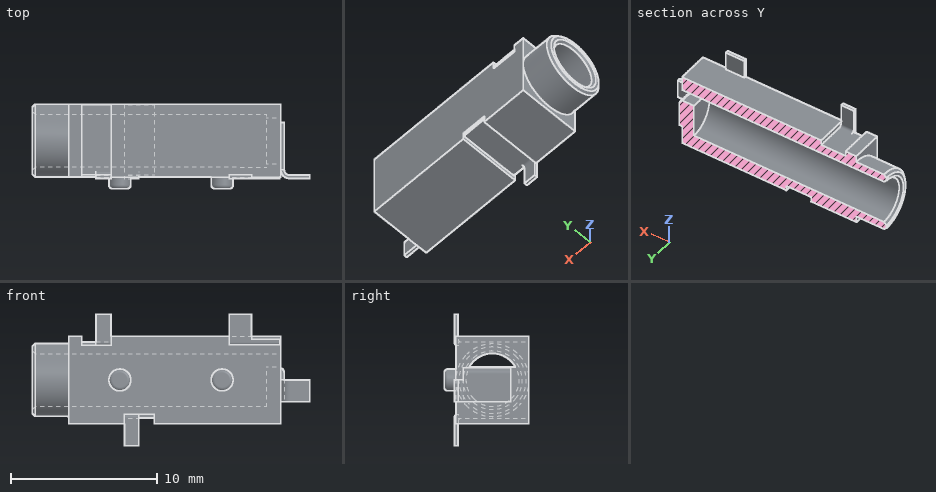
import cadquery as cq

total_length = 19.0
total_height = 9.0
body_start = 2.5
body_end = 17.0
body_depth = 5.0
body_height = 6.0
body_front = -body_depth / 2
half_height = total_height / 2
overlap = 0.19

bore_diameter = 3.61
mouth_chamfer = 0.2
rear_wall = 1.0
rear_window_bottom = 0.9

peg_diameter = 1.5
peg_height = 0.8
peg_fillet = 0.25
peg_positions = (6.0, 13.0)

sheet = 0.25
lead_standoff = 0.1
lead_front = body_front - lead_standoff
lead_back = lead_front + sheet
sheet_inner = 2.35
outer_bend = 0.2
inner_bend = 0.2

upper_plate_span = (3.4, 5.42)
upper_tab_span = (4.37, 5.42)
lower_plate_span = (6.3, 8.35)
lower_tab_span = (6.3, 7.3)
plate_rear_gap = 0.05

corner_tab_span = (13.47, 15.01)
corner_strip_end = 16.95
corner_strip_top = 2.77

foot_height = 1.5
rear_bend_inner = 0.35
rear_plate_back = 1.25
rear_plate_top = 0.85
rear_curl = 0.4


def block(x_span, y_span, z_span):
    """Box between the given limits along each axis."""
    size = [span[1] - span[0] for span in (x_span, y_span, z_span)]
    return cq.Workplane("XY").box(*size, centered=False).translate((x_span[0], y_span[0], z_span[0]))


def x_cylinder(diameter, start, end):
    """Cylinder on the bore axis."""
    return cq.Workplane("YZ", origin=(start, 0, 0)).circle(diameter / 2).extrude(end - start)


def make_shell():
    """Rectangular housing with its round sleeve, before boring."""
    housing = block(
        (body_start, body_end),
        (body_front, -body_front),
        (-body_height / 2, body_height / 2),
    )
    sleeve = x_cylinder(body_depth, 0, body_start + overlap).faces("<X").chamfer(mouth_chamfer)
    return housing.union(sleeve)


def make_bore():
    """Blind bore, countersunk at the mouth, with a segment-shaped window through the rear wall."""
    bore_end = body_end - rear_wall
    radius = bore_diameter / 2
    bore = x_cylinder(bore_diameter, 0, bore_end)
    mouth = (
        cq.Workplane("XY")
        .polyline([(0, 0), (0, radius + mouth_chamfer), (mouth_chamfer, radius), (mouth_chamfer, 0)])
        .close()
        .revolve(360, (0, 0, 0), (1, 0, 0))
    )
    above_wall = block((0, body_end), (-radius, radius), (rear_window_bottom, radius))
    window = x_cylinder(bore_diameter, bore_end - overlap, body_end).intersect(above_wall)
    return bore.union(mouth).union(window)


def make_peg(x):
    return (
        cq.Workplane("XZ", origin=(x, body_front + overlap, 0))
        .circle(peg_diameter / 2)
        .extrude(peg_height + overlap)
        .faces("<Y")
        .edges()
        .fillet(peg_fillet)
    )


def make_notch(plate_span):
    """Notch across the upper edge of the housing, over the plate of a side lead."""
    return block(plate_span, (body_front, -body_front), (sheet_inner, body_height / 2))


def make_side_lead(plate_span, tab_span):
    """Plate on the notch floor, with a tab bent up along the -Y face."""
    plate_top = sheet_inner + sheet
    plate = block(plate_span, (lead_back, -body_front - plate_rear_gap), (sheet_inner, plate_top))
    tab = (
        cq.Workplane("YZ", origin=(tab_span[0], 0, 0))
        .moveTo(lead_back + inner_bend, sheet_inner)
        .lineTo(lead_front + outer_bend, sheet_inner)
        .radiusArc((lead_front, sheet_inner + outer_bend), outer_bend)
        .lineTo(lead_front, half_height)
        .lineTo(lead_back, half_height)
        .lineTo(lead_back, plate_top + inner_bend)
        .radiusArc((lead_back + inner_bend, plate_top), -inner_bend)
        .close()
        .extrude(tab_span[1] - tab_span[0])
    )
    return plate.union(tab)


def make_corner_lead():
    """Strip along the upper rear edge of the -Y face, with one upright tab."""
    y_span = (lead_front, lead_back)
    strip = block((corner_tab_span[0], corner_strip_end), y_span, (sheet_inner, corner_strip_top))
    tab = block(corner_tab_span, y_span, (sheet_inner, half_height))
    return strip.union(tab).faces("<Z").edges("<Y").fillet(outer_bend)


def make_rear_lead():
    """Bent foot and the plate whose top edge curls over into the housing."""
    plate_outer = body_end + sheet
    bend_outer = rear_bend_inner + sheet
    bend_x = body_end + bend_outer
    bend_y = lead_front + bend_outer
    foot = (
        cq.Workplane("XY", origin=(0, 0, -foot_height))
        .moveTo(body_end, bend_y)
        .radiusArc((bend_x, lead_front), -bend_outer)
        .lineTo(total_length, lead_front)
        .lineTo(total_length, lead_back)
        .lineTo(bend_x, lead_back)
        .radiusArc((plate_outer, bend_y), rear_bend_inner)
        .lineTo(body_end, bend_y)
        .close()
        .extrude(foot_height)
    )
    plate = block(
        (plate_outer - rear_curl - overlap, plate_outer),
        (bend_y, rear_plate_back),
        (-foot_height, rear_plate_top),
    )
    return foot.union(plate.faces(">X").edges(">Z").fillet(rear_curl))


def to_lower_side(feature):
    """Mirror a feature of the upper side onto the lower side."""
    return feature.mirror("XY")


result = make_shell().cut(make_bore())
result = result.cut(make_notch(upper_plate_span))
result = result.cut(to_lower_side(make_notch(lower_plate_span)))
for peg_x in peg_positions:
    result = result.union(make_peg(peg_x))

result = result.union(make_side_lead(upper_plate_span, upper_tab_span))
result = result.union(to_lower_side(make_side_lead(lower_plate_span, lower_tab_span)))
result = result.union(make_corner_lead())
result = result.union(make_rear_lead())